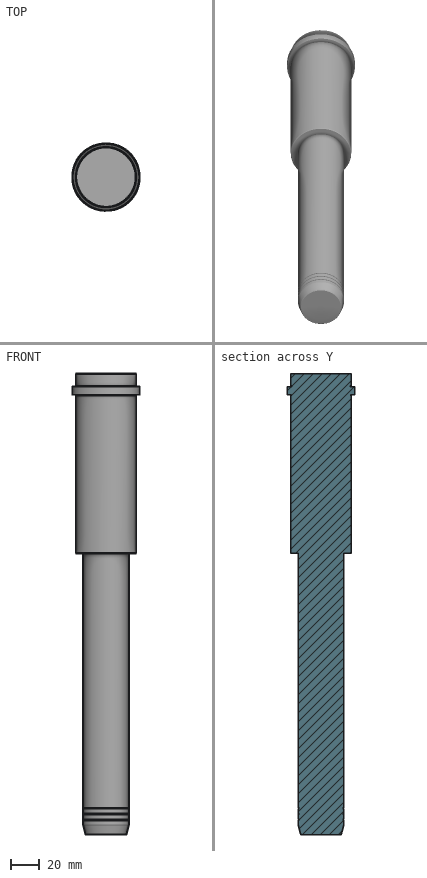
import cadquery as cq

total_length = 320.0

head_radius = 21.0
head_length = 125.0
head_edge_chamfer = 0.5
cap_length = 9.0
head_bottom = total_length - head_length

collar_radius = 23.5
collar_thickness = 6.0
collar_top_chamfer = 0.5
collar_bottom = total_length - cap_length - collar_thickness

shaft_radius = 16.0
tip_length = 7.0
tip_end_radius = 14.3
tip_end_chamfer = 0.5

groove_count = 3
groove_width = 1.0
groove_depth = 0.5
groove_pitch = 4.0
lowest_groove_bottom = 10.0
cutter_overhang = 1.0


def disc(radius, bottom, height):
    """Upright cylinder on the Z axis, starting at the given height."""
    return cq.Workplane("XY").workplane(offset=bottom).circle(radius).extrude(height)


def make_groove_cutter(bottom):
    """Ring that cuts one groove into the shaft."""
    outer = disc(shaft_radius + cutter_overhang, bottom, groove_width)
    floor = disc(shaft_radius - groove_depth, bottom, groove_width)
    return outer.cut(floor)


def make_shaft():
    """Shaft with its tapered tip at Z = 0 and the grooves above the tip."""
    half_profile = [
        (0, 0),
        (tip_end_radius - tip_end_chamfer, 0),
        (tip_end_radius, tip_end_chamfer),
        (shaft_radius, tip_length),
        (shaft_radius, head_bottom),
        (0, head_bottom),
    ]
    shaft = cq.Workplane("XZ").polyline(half_profile).close().revolve(360, (0, 0), (0, 1))
    for index in range(groove_count):
        shaft = shaft.cut(make_groove_cutter(lowest_groove_bottom + index * groove_pitch))
    return shaft


def make_head_segment(bottom, top):
    """Length of the head with both of its end edges chamfered."""
    return disc(head_radius, bottom, top - bottom).edges().chamfer(head_edge_chamfer)


def make_collar():
    """Collar with a chamfer on its upper edge only."""
    collar = disc(collar_radius, collar_bottom, collar_thickness)
    return collar.faces(">Z").edges().chamfer(collar_top_chamfer)


def make_head():
    sleeve = make_head_segment(head_bottom, collar_bottom)
    cap = make_head_segment(collar_bottom + collar_thickness, total_length)
    return sleeve.union(make_collar()).union(cap)


result = make_shaft().union(make_head())